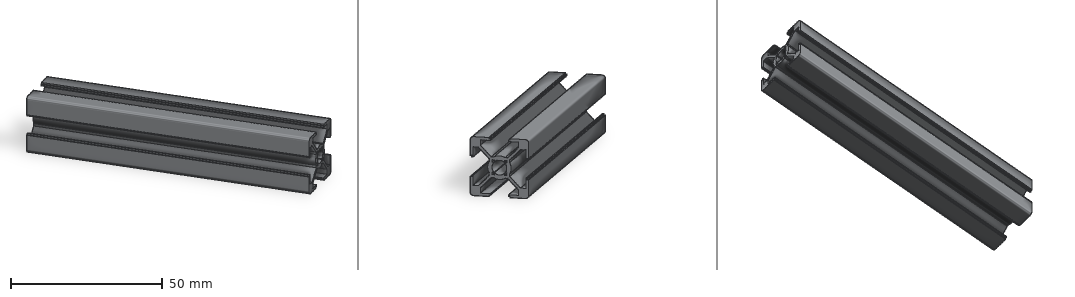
import cadquery as cq

length = 100.0
side = 20.0
half_side = side / 2
corner_radius = 1.2

lip_thickness = 1.0
post_size = 3.5
slot_half_mouth = 3.1
mouth_step_width = 0.5
mouth_step_depth = 0.5

web_thickness = 1.0

core_half = 3.5
bulge_radius = 4.0
bore_radius = 2.5
bore_notch_outer = bore_radius
bore_notch_inner = 1.7

QUADRANTS = [(1, 1), (-1, 1), (-1, -1), (1, -1)]


def section():
    """Start a sketch plane on the -X end face, with local axes along Y and Z."""
    return cq.Workplane("YZ", origin=(-length / 2, 0, 0))


def corner_square(inner, outer, sign_y, sign_z):
    """Square bar spanning inner to outer from the axis in both Y and Z."""
    centre = (inner + outer) / 2
    width = outer - inner
    return section().center(sign_y * centre, sign_z * centre).rect(width, width).extrude(length)


def make_frame():
    """Outer rim with rounded corners, a post in each corner and four stepped slot mouths."""
    rim = section().rect(side, side).extrude(length).edges("|X").fillet(corner_radius)
    cavity_side = side - 2 * lip_thickness
    frame = rim.cut(section().rect(cavity_side, cavity_side).extrude(length))
    mouth_width = 2 * slot_half_mouth
    frame = frame.cut(section().rect(mouth_width, side).extrude(length))
    frame = frame.cut(section().rect(side, mouth_width).extrude(length))

    step_width = mouth_width + 2 * mouth_step_width
    step_offset = half_side - mouth_step_depth / 2
    for sign in (1, -1):
        offset = sign * step_offset
        frame = frame.cut(section().center(offset, 0).rect(mouth_step_depth, step_width).extrude(length))
        frame = frame.cut(section().center(0, offset).rect(step_width, mouth_step_depth).extrude(length))

    post_outer = half_side - lip_thickness
    post_inner = half_side - post_size
    for sign_y, sign_z in QUADRANTS:
        frame = frame.union(corner_square(post_inner, post_outer, sign_y, sign_z))
    return frame


def make_webs():
    """Two crossed diagonal plates ending inside the corner posts."""
    post_centre = half_side - post_size / 2
    web_span = 2 * post_centre * 2 ** 0.5
    plate = section().rect(web_span, web_thickness).extrude(length)
    axis_start = (0, 0, 0)
    axis_end = (1, 0, 0)
    rising = plate.rotate(axis_start, axis_end, 45)
    falling = plate.rotate(axis_start, axis_end, -45)
    return rising.union(falling)


def make_core():
    """Square core merged with a cylinder that bulges from its four flats."""
    square = section().rect(2 * core_half, 2 * core_half).extrude(length)
    return square.union(section().circle(bulge_radius).extrude(length))


def make_bore():
    """Round bore with a small square notch in each diagonal direction."""
    bore = section().circle(bore_radius).extrude(length)
    for sign_y, sign_z in QUADRANTS:
        bore = bore.union(corner_square(bore_notch_inner, bore_notch_outer, sign_y, sign_z))
    return bore


result = make_frame().union(make_webs()).union(make_core()).cut(make_bore())